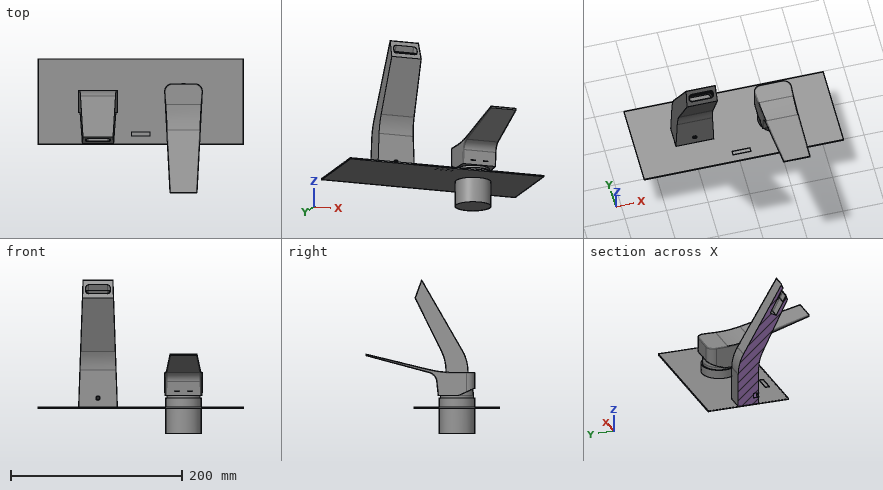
import cadquery as cq
import math


PLATE_LENGTH = 240.0
PLATE_WIDTH = 100.0
PLATE_THICKNESS = 1.5

OUTLINE_REACH = 200.0

BADGE_LENGTH = 21.5
BADGE_WIDTH = 5.0
BADGE_DEPTH = 0.5
BADGE_Y = -38.0

STATION_SPACING = 100.0
SPOUT_X = -STATION_SPACING / 2
HANDLE_X = STATION_SPACING / 2

SLEEVE_DIAMETER = 42.0
SLEEVE_BOTTOM_Z = -29.5
SLEEVE_TOP_Z = 12.0
NECK_DIAMETER = 39.0
NECK_TOP_DIAMETER = 36.5
NECK_SHOULDER_Z = 15.0
NECK_DOME_TOP_Z = 22.0
NECK_TOP_Z = 30.0

SPOUT_TOP_Z = 150.13
SPOUT_DEPTH = 26.0
SPOUT_BASE_WIDTH = 45.5
SPOUT_SIDE_DRAFT = 2.0
SPOUT_BEND_RADIUS = 50.0
SPOUT_BACK_ANGLE = 30.0
SPOUT_FRONT_ANGLE = 26.0
SPOUT_FRONT_BEND_Z = 44.7
SPOUT_TIP_Y = -41.3
SPOUT_MOUTH_LENGTH = 22.4
SPOUT_MOUTH_ANGLE = 20.0

PASSAGE_ANGLE = (SPOUT_BACK_ANGLE + SPOUT_FRONT_ANGLE) / 2
PASSAGE_WIDTH = 29.2
PASSAGE_HEIGHT = 7.9
PASSAGE_CORNER_RADIUS = 3.65
PASSAGE_DEPTH = 30.0
AERATOR_INSET = 3.9
AERATOR_LENGTH = 8.0
AERATOR_WALL = 0.6

SCREW_DIAMETER = 5.0
SCREW_LENGTH = 6.0
SCREW_Z = 12.0
SCREW_RECESS = 0.5
SOCKET_ACROSS_CORNERS = 2.8
SOCKET_DEPTH = 2.0

HANDLE_BACK_Y = 20.8
HANDLE_WIDTH = 45.1
HANDLE_CORNER_RADIUS = 9.0
HANDLE_SIDE_TAPER = 3.0
HANDLE_TIP_Y = -106.64
HANDLE_BOTTOM_Z = 15.0
HANDLE_TOP_Z = 42.0
RELIEF_START_Y = 1.6
RELIEF_ANGLE = 24.0
LEVER_BEND_START_Y = -3.2
LEVER_BEND_END_Y = -33.0
LEVER_TOP_ANGLE = 13.7
LEVER_UNDER_ANGLE = 15.0
LEVER_TIP_THICKNESS = 2.0
HANDLE_FRONT_Y = -22.0
HANDLE_FRONT_ANGLE = 6.0
LEVER_ROOT_FILLET = 12.0
HANDLE_EDGE_RADIUS = 0.7

MARK_LENGTH = 5.3
MARK_HEIGHT = 0.7
MARK_DEPTH = 0.5
MARK_SPACING = 15.2
MARK_RISE = 5.2


def tan(degrees):
    return math.tan(math.radians(degrees))


def sin(degrees):
    return math.sin(math.radians(degrees))


def cos(degrees):
    return math.cos(math.radians(degrees))


def side_profile(start):
    """Start a profile in the YZ plane, at X = 0."""
    return cq.Workplane("YZ").moveTo(*start)


def make_sleeve():
    return (
        cq.Workplane("XY", origin=(HANDLE_X, 0, SLEEVE_BOTTOM_Z))
        .circle(SLEEVE_DIAMETER / 2)
        .extrude(SLEEVE_TOP_Z - SLEEVE_BOTTOM_Z)
    )


def make_neck():
    """Turned neck with a rounded shoulder that narrows towards the handle it carries."""
    return (
        cq.Workplane("XZ", origin=(HANDLE_X, 0, 0))
        .moveTo(0, SLEEVE_TOP_Z)
        .lineTo(NECK_DIAMETER / 2, SLEEVE_TOP_Z)
        .lineTo(NECK_DIAMETER / 2, NECK_SHOULDER_Z)
        .tangentArcPoint((NECK_TOP_DIAMETER / 2, NECK_DOME_TOP_Z), relative=False)
        .lineTo(NECK_TOP_DIAMETER / 2, NECK_TOP_Z)
        .lineTo(0, NECK_TOP_Z)
        .close()
        .revolve(360, (0, 0, 0), (0, 1, 0))
    )


def make_badge():
    return (
        cq.Workplane("XY", origin=(0, BADGE_Y, PLATE_THICKNESS - BADGE_DEPTH))
        .rect(BADGE_LENGTH, BADGE_WIDTH)
        .extrude(BADGE_DEPTH)
    )


def make_plate(sleeve, badge):
    blank = cq.Workplane("XY").box(
        PLATE_LENGTH, PLATE_WIDTH, PLATE_THICKNESS, centered=(True, True, False)
    )
    return blank.cut(sleeve).cut(badge)


def spout_mouth():
    """Top and bottom points of the sloping mouth, as (y, z)."""
    top = (SPOUT_TIP_Y, SPOUT_TOP_Z)
    bottom = (
        SPOUT_TIP_Y - SPOUT_MOUTH_LENGTH * sin(SPOUT_MOUTH_ANGLE),
        SPOUT_TOP_Z - SPOUT_MOUTH_LENGTH * cos(SPOUT_MOUTH_ANGLE),
    )
    return top, bottom


def bend_points(face_y, bend_z, angle):
    """Middle and end of a bend that leans a vertical face at (face_y, bend_z) towards -Y."""

    def on_bend(turn):
        return (
            face_y - SPOUT_BEND_RADIUS * (1 - cos(turn)),
            bend_z + SPOUT_BEND_RADIUS * sin(turn),
        )

    return on_bend(angle / 2), on_bend(angle)


def make_spout_blank():
    back_y = SPOUT_DEPTH / 2
    front_y = -SPOUT_DEPTH / 2
    mouth_top, mouth_bottom = spout_mouth()

    back_end_y = back_y - SPOUT_BEND_RADIUS * (1 - cos(SPOUT_BACK_ANGLE))
    back_end_z = SPOUT_TOP_Z - (back_end_y - SPOUT_TIP_Y) / tan(SPOUT_BACK_ANGLE)
    back_bend_z = back_end_z - SPOUT_BEND_RADIUS * sin(SPOUT_BACK_ANGLE)
    back_middle, back_end = bend_points(back_y, back_bend_z, SPOUT_BACK_ANGLE)
    front_middle, front_end = bend_points(front_y, SPOUT_FRONT_BEND_Z, SPOUT_FRONT_ANGLE)

    side = (
        side_profile((front_y, PLATE_THICKNESS))
        .lineTo(back_y, PLATE_THICKNESS)
        .lineTo(back_y, back_bend_z)
        .threePointArc(back_middle, back_end)
        .lineTo(*mouth_top)
        .lineTo(*mouth_bottom)
        .lineTo(*front_end)
        .threePointArc(front_middle, (front_y, SPOUT_FRONT_BEND_Z))
        .close()
        .extrude(SPOUT_BASE_WIDTH / 2, both=True)
    )

    height = SPOUT_TOP_Z - PLATE_THICKNESS
    base_half = SPOUT_BASE_WIDTH / 2
    top_half = base_half - height * tan(SPOUT_SIDE_DRAFT)
    front = (
        cq.Workplane("XZ")
        .polyline(
            [
                (-base_half, PLATE_THICKNESS),
                (base_half, PLATE_THICKNESS),
                (top_half, SPOUT_TOP_Z),
                (-top_half, SPOUT_TOP_Z),
            ]
        )
        .close()
        .extrude(OUTLINE_REACH, both=True)
    )
    return side.intersect(front).translate((SPOUT_X, 0, 0))


def passage_bar(inset, length, wall=0.0):
    """Rounded bar along the outlet passage, starting `inset` below the middle of the mouth."""
    mouth_top, mouth_bottom = spout_mouth()
    inward_y = sin(PASSAGE_ANGLE)
    inward_z = -cos(PASSAGE_ANGLE)
    origin = (
        SPOUT_X,
        (mouth_top[0] + mouth_bottom[0]) / 2 + inset * inward_y,
        (mouth_top[1] + mouth_bottom[1]) / 2 + inset * inward_z,
    )
    plane = cq.Plane(origin=origin, xDir=(1, 0, 0), normal=(0, inward_y, inward_z))
    return (
        cq.Workplane(plane)
        .rect(PASSAGE_WIDTH - 2 * wall, PASSAGE_HEIGHT - 2 * wall)
        .extrude(length)
        .edges(cq.selectors.ParallelDirSelector(cq.Vector(0, inward_y, inward_z)))
        .fillet(PASSAGE_CORNER_RADIUS - wall)
    )


def make_aerator():
    """Open frame that lines the outlet passage behind the mouth."""
    outside = passage_bar(AERATOR_INSET, AERATOR_LENGTH)
    inside = passage_bar(AERATOR_INSET, AERATOR_LENGTH, AERATOR_WALL)
    return outside.cut(inside)


def screw_hole():
    return (
        cq.Workplane("XZ", origin=(SPOUT_X, -SPOUT_DEPTH / 2, SCREW_Z))
        .circle(SCREW_DIAMETER / 2)
        .extrude(-SCREW_RECESS - SCREW_LENGTH)
    )


def make_screw():
    outer_end = (SPOUT_X, -SPOUT_DEPTH / 2 + SCREW_RECESS, SCREW_Z)
    socket = (
        cq.Workplane("XZ", origin=outer_end)
        .polygon(6, SOCKET_ACROSS_CORNERS)
        .extrude(-SOCKET_DEPTH)
    )
    return (
        cq.Workplane("XZ", origin=outer_end)
        .circle(SCREW_DIAMETER / 2)
        .extrude(-SCREW_LENGTH)
        .cut(socket)
    )


def make_spout():
    clearance = SPOUT_MOUTH_LENGTH
    passage = passage_bar(-clearance, clearance + PASSAGE_DEPTH)
    return make_spout_blank().cut(passage).cut(screw_hole())


def handle_side():
    """Handle as seen along X: hub with a relieved back and a thin lever rising to the front."""
    bend_length = LEVER_BEND_START_Y - LEVER_BEND_END_Y
    bend_radius = bend_length / sin(LEVER_TOP_ANGLE)

    def on_bend(turn):
        return (
            LEVER_BEND_START_Y - bend_radius * sin(turn),
            HANDLE_TOP_Z + bend_radius * (1 - cos(turn)),
        )

    bend_end = on_bend(LEVER_TOP_ANGLE)
    tip_top_z = bend_end[1] + (LEVER_BEND_END_Y - HANDLE_TIP_Y) * tan(LEVER_TOP_ANGLE)
    tip_bottom_y = HANDLE_TIP_Y + LEVER_TIP_THICKNESS * sin(LEVER_TOP_ANGLE)
    tip_bottom_z = tip_top_z - LEVER_TIP_THICKNESS * cos(LEVER_TOP_ANGLE)

    under_slope = tan(LEVER_UNDER_ANGLE)
    lean = tan(HANDLE_FRONT_ANGLE)
    under_z_at_front = tip_bottom_z - (HANDLE_FRONT_Y - tip_bottom_y) * under_slope
    rise = (under_z_at_front - HANDLE_BOTTOM_Z) / (1 - lean * under_slope)
    root = (HANDLE_FRONT_Y - rise * lean, HANDLE_BOTTOM_Z + rise)

    relief_z = HANDLE_BOTTOM_Z + (HANDLE_BACK_Y - RELIEF_START_Y) * tan(RELIEF_ANGLE)
    return (
        side_profile((HANDLE_FRONT_Y, HANDLE_BOTTOM_Z))
        .lineTo(RELIEF_START_Y, HANDLE_BOTTOM_Z)
        .lineTo(HANDLE_BACK_Y, relief_z)
        .lineTo(HANDLE_BACK_Y, HANDLE_TOP_Z)
        .lineTo(LEVER_BEND_START_Y, HANDLE_TOP_Z)
        .threePointArc(on_bend(LEVER_TOP_ANGLE / 2), bend_end)
        .lineTo(HANDLE_TIP_Y, tip_top_z)
        .lineTo(tip_bottom_y, tip_bottom_z)
        .lineTo(*root)
        .close()
        .extrude(HANDLE_WIDTH / 2, both=True)
        .edges(cq.selectors.NearestToPointSelector((0, *root)))
        .fillet(LEVER_ROOT_FILLET)
    )


def handle_plan():
    """Handle as seen along Z: rounded at the back, tapering to the lever tip."""
    back_half = HANDLE_WIDTH / 2
    tip_half = back_half - (HANDLE_BACK_Y - HANDLE_TIP_Y) * tan(HANDLE_SIDE_TAPER)
    return (
        cq.Workplane("XY")
        .polyline(
            [
                (-tip_half, HANDLE_TIP_Y),
                (tip_half, HANDLE_TIP_Y),
                (back_half, HANDLE_BACK_Y),
                (-back_half, HANDLE_BACK_Y),
            ]
        )
        .close()
        .extrude(OUTLINE_REACH)
        .edges("|Z and >Y")
        .fillet(HANDLE_CORNER_RADIUS)
    )


def is_rim(edge):
    """True for the edges around the handle top, the front face and the lever."""
    centre = edge.Center()
    on_top_back = centre.z > HANDLE_TOP_Z - HANDLE_EDGE_RADIUS and centre.y > LEVER_BEND_START_Y
    on_front_sides = centre.y < LEVER_BEND_START_Y and abs(centre.x) > HANDLE_WIDTH / 4
    on_bottom = centre.z < HANDLE_BOTTOM_Z + HANDLE_EDGE_RADIUS
    return (on_top_back or on_front_sides) and not on_bottom


def make_marks():
    """Slot-shaped cutters normal to the leaning front face of the handle."""
    lean_y = sin(HANDLE_FRONT_ANGLE)
    lean_z = cos(HANDLE_FRONT_ANGLE)
    front = cq.Plane(
        origin=(0, HANDLE_FRONT_Y, HANDLE_BOTTOM_Z), xDir=(1, 0, 0), normal=(0, -lean_z, -lean_y)
    )
    return (
        cq.Workplane(front)
        .pushPoints([(side * MARK_SPACING / 2, MARK_RISE) for side in (-1, 1)])
        .slot2D(MARK_LENGTH, MARK_HEIGHT)
        .extrude(-MARK_DEPTH)
    )


def make_handle(neck):
    sharp = handle_side().intersect(handle_plan())
    rim = [edge for edge in sharp.edges().vals() if is_rim(edge)]
    blank = sharp.newObject(rim).fillet(HANDLE_EDGE_RADIUS)
    return blank.cut(make_marks()).translate((HANDLE_X, 0, 0)).cut(neck)


sleeve = make_sleeve()
neck = make_neck()
badge = make_badge()
plate = make_plate(sleeve, badge)
spout = make_spout()
aerator = make_aerator()
screw = make_screw()
handle = make_handle(neck)

bodies = [plate, badge, sleeve, neck, spout, aerator, screw, handle]
result = cq.Compound.makeCompound([body.val() for body in bodies])